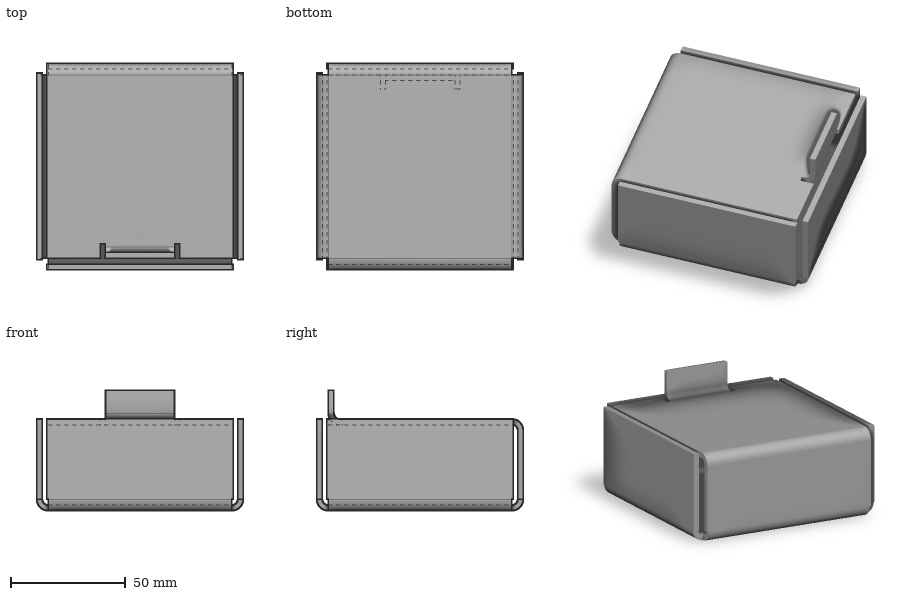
import cadquery as cq
import math

outer_side = 90.0
box_height = 40.0
total_height = 52.5
sheet = 2.5
bend_inner = 2.5
wall_width = 81.4
tab_width = 30.1
relief_width = 2.3
relief_overrun = 1.2

half_side = outer_side / 2
bend_outer = bend_inner + sheet
floor_half = half_side - bend_outer
floor_side = 2 * floor_half
lid_bottom = box_height - sheet
tab_bend_start = -floor_half + bend_outer
tab_bend_top = lid_bottom + bend_outer
relief_end = tab_bend_start + relief_overrun


def block(x_range, y_range, z_range):
    """Axis-aligned block between the given limits."""
    (x0, x1), (y0, y1), (z0, z1) = x_range, y_range, z_range
    return cq.Workplane("XY").box(x1 - x0, y1 - y0, z1 - z0, centered=False).translate((x0, y0, z0))


def bend(width, center_y, center_z, start_angle):
    """Quarter-ring bend along X; the angle is measured from +Y towards +Z."""

    def ring_point(radius, degrees):
        angle = math.radians(start_angle + degrees)
        return center_y + radius * math.cos(angle), center_z + radius * math.sin(angle)

    return (
        cq.Workplane("YZ")
        .moveTo(*ring_point(bend_inner, 0))
        .lineTo(*ring_point(bend_outer, 0))
        .threePointArc(ring_point(bend_outer, 45), ring_point(bend_outer, 90))
        .lineTo(*ring_point(bend_inner, 90))
        .threePointArc(ring_point(bend_inner, 45), ring_point(bend_inner, 0))
        .close()
        .extrude(width / 2, both=True)
    )


def across(width):
    """Limits of a span centred on X = 0."""
    return -width / 2, width / 2


def front_wall(top):
    """Wall on the -Y side with its bend up from the floor."""
    wall = block(across(wall_width), (-half_side, -half_side + sheet), (bend_outer, top))
    return wall.union(bend(floor_side, -floor_half, bend_outer, 180))


def lid():
    """Lid with its bend from the back wall and an open front edge."""
    plate = block(across(wall_width), (-floor_half, floor_half), (lid_bottom, box_height))
    plate = plate.union(bend(wall_width, floor_half, box_height - bend_outer, 0))
    notch_width = tab_width + 2 * relief_width
    plate = plate.cut(block(across(notch_width), (-floor_half, relief_end), (lid_bottom, box_height)))
    return plate.union(block(across(tab_width), (tab_bend_start, relief_end), (lid_bottom, box_height)))


def tab():
    """Upright tab bent up from the lid at its front edge."""
    upright = block(across(tab_width), (-floor_half, -floor_half + sheet), (tab_bend_top, total_height))
    return upright.union(bend(tab_width, tab_bend_start, tab_bend_top, 180))


result = block(across(floor_side), across(floor_side), (0, sheet))
for turn in (-90, 0, 90):
    result = result.union(front_wall(box_height).rotate((0, 0, 0), (0, 0, 1), turn))

back_wall = front_wall(box_height - bend_outer).rotate((0, 0, 0), (0, 0, 1), 180)
result = result.union(back_wall).union(lid()).union(tab())